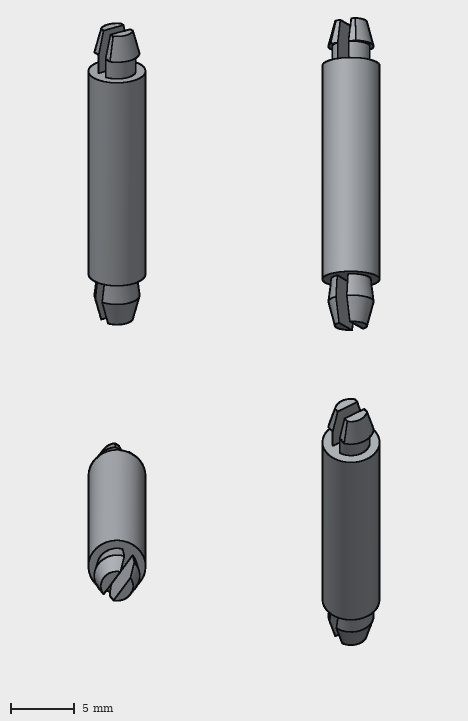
import cadquery as cq
import math

total_length = 24.9
body_radius = 4.5 / 2
slot_width = 0.95

tip_radius = 1.27
barb_radius = 1.8
lead_in_length = 2.0

lower_length = 3.8
lower_root_radius = 1.57

upper_length = 3.55
stem_radius = 1.5
flat_tip_half_width = 0.95
flat_base_half_width = math.sqrt(stem_radius**2 - (slot_width / 2) ** 2)

body_bottom = lower_length
body_top = total_length - upper_length
upper_barb_height = total_length - lead_in_length


def revolve_profile(points):
    """Turn a closed (radius, height) outline about the Z axis."""
    return cq.Workplane("XZ").polyline(points).close().revolve(360, (0, 0, 0), (0, 1, 0))


def slot(bottom, height):
    """Slot through the part along Y, dividing a snap end into two prongs."""
    return cq.Workplane("XY", origin=(0, 0, bottom)).rect(slot_width, 2 * body_radius).extrude(height)


def make_body():
    return cq.Workplane("XY", origin=(0, 0, body_bottom)).circle(body_radius).extrude(body_top - body_bottom)


def make_lower_end():
    end = revolve_profile([
        (0, 0),
        (tip_radius, 0),
        (barb_radius, lead_in_length),
        (lower_root_radius, body_bottom),
        (0, body_bottom),
    ])
    return end.cut(slot(0, body_bottom))


def make_upper_end():
    end = revolve_profile([
        (0, body_top),
        (stem_radius, body_top),
        (stem_radius, upper_barb_height),
        (barb_radius, upper_barb_height),
        (tip_radius, total_length),
        (0, total_length),
    ])
    end = end.cut(slot(body_top, upper_length))

    flats_envelope = (
        cq.Workplane("YZ")
        .polyline([
            (-flat_base_half_width, body_top),
            (flat_base_half_width, body_top),
            (flat_base_half_width, upper_barb_height),
            (flat_tip_half_width, total_length),
            (-flat_tip_half_width, total_length),
            (-flat_base_half_width, upper_barb_height),
        ])
        .close()
        .extrude(body_radius, both=True)
    )
    return end.intersect(flats_envelope)


result = make_body().union(make_lower_end()).union(make_upper_end())